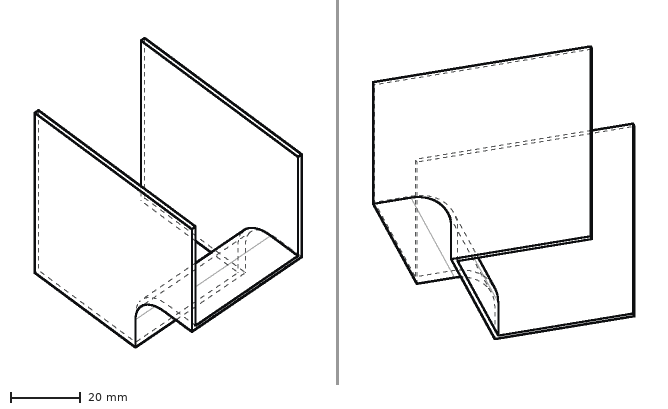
import cadquery as cq

side = 65.0
width = 43.6
wall = 1.5

cutout = 23.3
outer_radius = 12.0
inner_radius = outer_radius + wall


def corner_block(size, radius):
    """Full-width block filling the +X, -Z corner, with its inward edge rounded."""
    block = cq.Workplane("XY").box(size, width, size)
    block = block.edges("|Y and <X and >Z").fillet(radius)
    return block.translate(((side - size) / 2, 0, (size - side) / 2))


envelope = cq.Workplane("XY").box(side, width, side)
channel = cq.Workplane("XY").box(side, width - 2 * wall, side)
plates = envelope.cut(channel)

web_block = corner_block(cutout + wall, inner_radius)
result = plates.union(web_block).cut(corner_block(cutout, outer_radius))